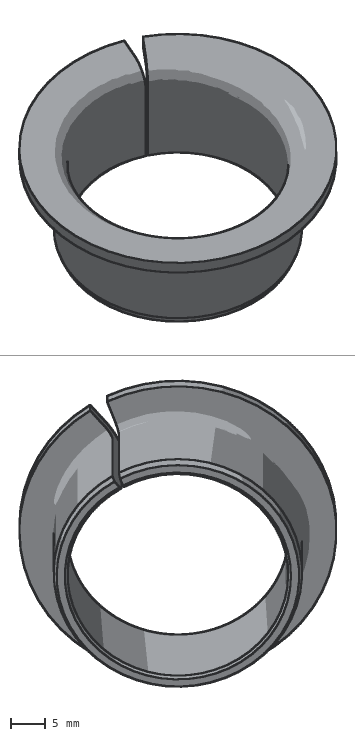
import cadquery as cq
import math

flange_diameter = 46.0
sleeve_diameter = 36.0
wall = 2.02
height = 18.0
outer_bend_radius = 1.5
lead_in_height = 1.2
lead_in_angle = 20.0
bore_chamfer = 0.4
gap_half_angle = 10.0
gap_bore_half_width = 0.2

flange_radius = flange_diameter / 2
sleeve_radius = sleeve_diameter / 2
bore_radius = sleeve_radius - wall
inner_bend_radius = outer_bend_radius + wall
flange_underside = height - wall
bend_centre_r = sleeve_radius + outer_bend_radius
bend_centre_z = flange_underside - outer_bend_radius
lead_in_width = lead_in_height * math.tan(math.radians(lead_in_angle))


def bend_midpoint(radius):
    """Middle of a quarter bend arc, as (radius from axis, height)."""
    offset = radius * math.sqrt(0.5)
    return bend_centre_r - offset, bend_centre_z + offset


def make_bush():
    """Revolve the bent wall section about Z."""
    section = (
        cq.Workplane("XZ")
        .moveTo(bore_radius, bore_chamfer)
        .lineTo(bore_radius + bore_chamfer, 0)
        .lineTo(sleeve_radius - lead_in_width, 0)
        .lineTo(sleeve_radius, lead_in_height)
        .lineTo(sleeve_radius, bend_centre_z)
        .threePointArc(bend_midpoint(outer_bend_radius), (bend_centre_r, flange_underside))
        .lineTo(flange_radius, flange_underside)
        .lineTo(flange_radius, height)
        .lineTo(bend_centre_r, height)
        .threePointArc(bend_midpoint(inner_bend_radius), (bore_radius, bend_centre_z))
        .close()
    )
    return section.revolve(360, (0, 0), (0, 1)).rotate((0, 0, 0), (0, 0, 1), 180)


def make_split():
    """Full-height wedge that opens the ring on its -X side."""
    slope = math.tan(math.radians(gap_half_angle))
    apex_x = gap_bore_half_width / slope - bore_radius
    mouth_x = -1.1 * flange_radius
    mouth_half_width = (apex_x - mouth_x) * slope
    return (
        cq.Workplane("XY")
        .polyline([(apex_x, 0), (mouth_x, mouth_half_width), (mouth_x, -mouth_half_width)])
        .close()
        .extrude(height)
    )


result = make_bush().cut(make_split())